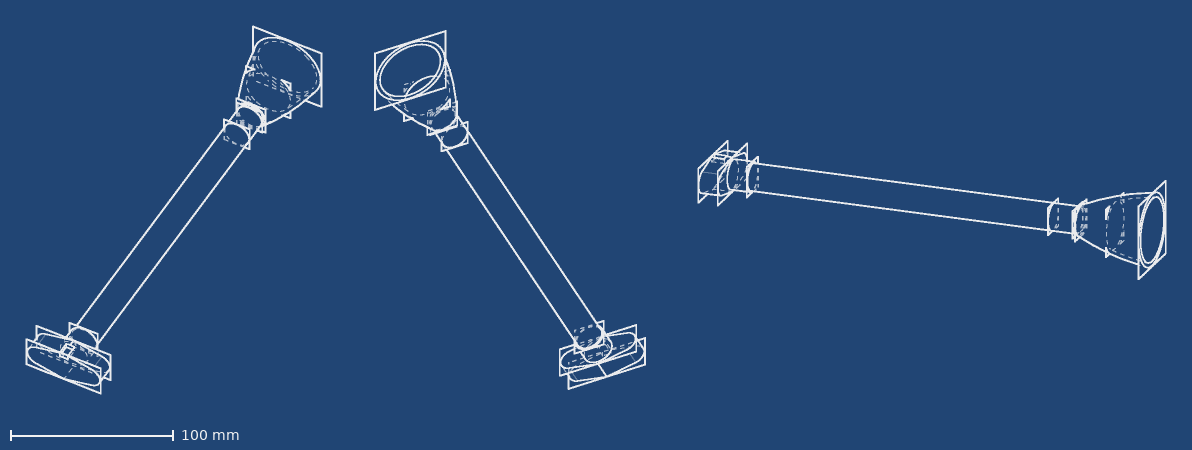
import cadquery as cq
import math

LENGTH = 287.8
PLATE_THICKNESS = 0.15

FLANGE_THICKNESS = 13.0
FLANGE_HALF_WIDTH = 25.3
FLANGE_HALF_HEIGHT = 11.2
FLANGE_END_RADIUS = 7.2
FLANGE_PLATE_WIDTH = 51.8
FLANGE_PLATE_HEIGHT = 2 * FLANGE_HALF_HEIGHT
NOTCH_WIDTH = 5.8
NOTCH_LENGTH = 8.5
NOTCH_DEPTH = 3.5

COLLAR_END = 26.0
COLLAR_RADIUS = 9.5
COLLAR_PLATE = 20.0
TUBE_RADIUS = 8.5
TUBE_END = 222.8
NECK_PLATE = 17.8
NECK_PLATE_START = 239.0

BELL_START = 241.0
BELL_THROAT_RADIUS = 9.8
BELL_FLOOR = 263.3
BELL_FLOOR_OUTER_RADIUS = 18.0
BELL_MOUTH_RADIUS = 23.3
BELL_WALL = 3.0
CUP_MIDDLE = (BELL_FLOOR + LENGTH) / 2
CUP_MIDDLE_OUTER_RADIUS = 21.3
THROAT_PLATE = 20.5
FLOOR_PLATE = 31.0
MOUTH_PLATE = 47.8


def cross_section(y):
    """XZ workplane at the given Y; positive extrusion runs toward +Y."""
    return cq.Workplane(cq.Plane(origin=(0, y, 0), xDir=(-1, 0, 0), normal=(0, 1, 0)))


def rod(radius, start, end):
    return cross_section(start).circle(radius).extrude(end - start)


def plate(width, height, start):
    return cross_section(start).rect(width, height).extrude(PLATE_THICKNESS)


def make_flange():
    end_center = FLANGE_HALF_WIDTH - FLANGE_END_RADIUS
    crest_distance = math.hypot(end_center, FLANGE_HALF_HEIGHT)
    flank_angle = math.atan2(FLANGE_HALF_HEIGHT, end_center) - math.asin(FLANGE_END_RADIUS / crest_distance)
    tangent_x = end_center + FLANGE_END_RADIUS * math.sin(flank_angle)
    tangent_z = FLANGE_END_RADIUS * math.cos(flank_angle)

    body = (
        cross_section(0)
        .moveTo(0, FLANGE_HALF_HEIGHT)
        .lineTo(tangent_x, tangent_z)
        .threePointArc((FLANGE_HALF_WIDTH, 0), (tangent_x, -tangent_z))
        .lineTo(0, -FLANGE_HALF_HEIGHT)
        .lineTo(-tangent_x, -tangent_z)
        .threePointArc((-FLANGE_HALF_WIDTH, 0), (-tangent_x, tangent_z))
        .close()
        .extrude(FLANGE_THICKNESS)
    )
    notch = cq.Workplane("XY").box(NOTCH_WIDTH, NOTCH_LENGTH, NOTCH_DEPTH, centered=(True, False, False))
    body = body.cut(notch.translate((0, 0, FLANGE_HALF_HEIGHT - NOTCH_DEPTH)))
    for start in (0, FLANGE_THICKNESS - PLATE_THICKNESS):
        body = body.union(plate(FLANGE_PLATE_WIDTH, FLANGE_PLATE_HEIGHT, start))
    return body


def make_collar():
    body = rod(COLLAR_RADIUS, FLANGE_THICKNESS, COLLAR_END)
    return body.union(plate(COLLAR_PLATE, COLLAR_PLATE, COLLAR_END - PLATE_THICKNESS))


def make_tube():
    return rod(TUBE_RADIUS, COLLAR_END, TUBE_END)


def make_neck():
    body = rod(TUBE_RADIUS, TUBE_END, BELL_START)
    for start in (TUBE_END, NECK_PLATE_START):
        body = body.union(plate(NECK_PLATE, NECK_PLATE, start))
    return body


def make_bell():
    body = (
        cq.Workplane("XY")
        .moveTo(0, BELL_START)
        .lineTo(BELL_THROAT_RADIUS, BELL_START)
        .threePointArc((BELL_FLOOR_OUTER_RADIUS, BELL_FLOOR), (BELL_MOUTH_RADIUS, LENGTH))
        .lineTo(0, LENGTH)
        .close()
        .revolve(360, (0, 0, 0), (0, 1, 0))
    )
    for size, start in (
        (THROAT_PLATE, BELL_START),
        (FLOOR_PLATE, BELL_FLOOR - PLATE_THICKNESS),
        (MOUTH_PLATE, LENGTH - PLATE_THICKNESS),
    ):
        body = body.union(plate(size, size, start))
    cup = (
        cq.Workplane("XY")
        .moveTo(0, BELL_FLOOR)
        .lineTo(BELL_FLOOR_OUTER_RADIUS - BELL_WALL, BELL_FLOOR)
        .threePointArc(
            (CUP_MIDDLE_OUTER_RADIUS - BELL_WALL, CUP_MIDDLE),
            (BELL_MOUTH_RADIUS - BELL_WALL, LENGTH),
        )
        .lineTo(0, LENGTH)
        .close()
        .revolve(360, (0, 0, 0), (0, 1, 0))
    )
    return body.cut(cup)


flange = make_flange()
collar = make_collar()
tube = make_tube()
neck = make_neck()
bell = make_bell()

bodies = [flange, collar, tube, neck, bell]
result = cq.Compound.makeCompound([body.solids().val() for body in bodies])